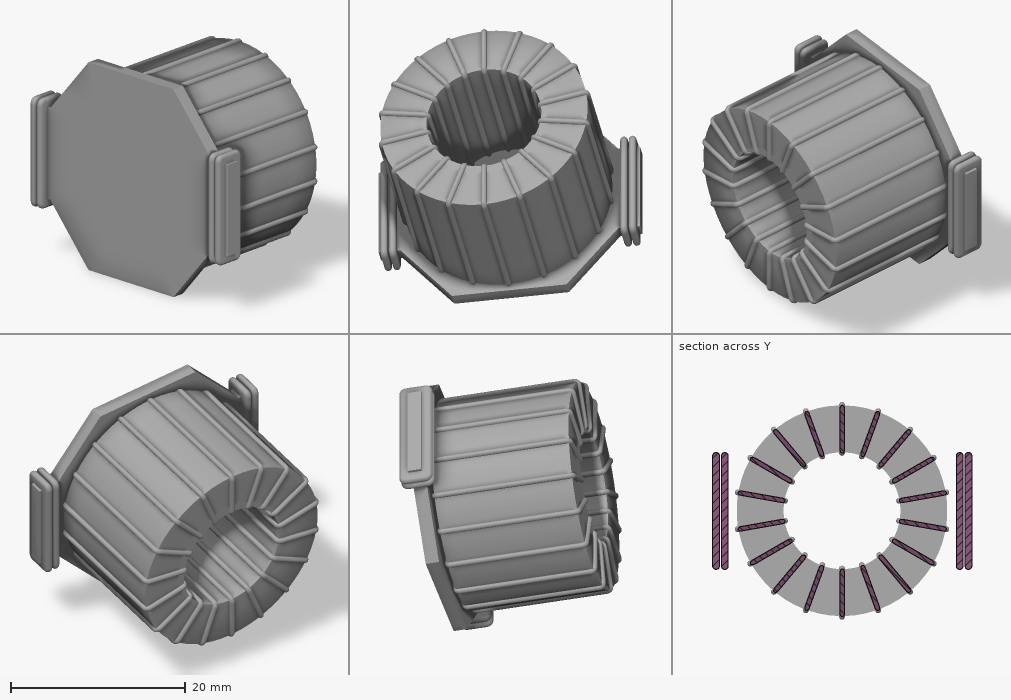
import cadquery as cq


PLATE_THICKNESS = 1.6
PLATE_HEIGHT = 25.4
PLATE_FLAT_LENGTH = 13.35
SHOULDER_WIDTH = PLATE_HEIGHT
TAB_SPAN = 30.5
TAB_HEIGHT = 11.15

WRAP_MARGIN = 1.15
WRAP_WIRE_DIAMETER = 0.82
WRAP_PITCH = 1.0
WRAP_CENTRE_INSET = 1.25

WINDING_MARGIN = 0.4
WINDING_LENGTH = 17.08
WINDING_OUTER_RADIUS = 12.5
CORE_BORE_RADIUS = 6.7
TURN_COUNT = 18
TURN_WIRE_DIAMETER = 0.67

BEND_RADIUS = 0.8

CORE_RADIUS = WINDING_OUTER_RADIUS - WINDING_MARGIN
CORE_LENGTH = WINDING_LENGTH - 2 * WINDING_MARGIN
CORE_START = PLATE_THICKNESS + WINDING_MARGIN
WINDING_CENTRE = PLATE_THICKNESS + WINDING_LENGTH / 2
TURN_INNER_RADIUS = CORE_BORE_RADIUS - WINDING_MARGIN
TURN_DEPTH = WINDING_OUTER_RADIUS - TURN_INNER_RADIUS
TURN_CENTRE_RADIUS = TURN_INNER_RADIUS + TURN_DEPTH / 2
TURN_ANGLE = 360 / TURN_COUNT


def wire_loop(wire_diameter, length, height):
    """A filled wire loop, thin along X: a round wire bent at four corners, with a flat web inside it."""
    wire_radius = wire_diameter / 2
    web = (
        cq.Workplane("XY")
        .box(wire_diameter, length - wire_diameter, height - wire_diameter)
        .edges("|X")
        .fillet(BEND_RADIUS - wire_radius)
    )
    centreline = web.faces(">X").wires().val().translate(cq.Vector(-wire_radius, 0, 0))
    rim = (
        cq.Workplane("XZ", origin=(0, 0, height / 2 - wire_radius))
        .circle(wire_radius)
        .sweep(centreline)
    )
    return web.union(rim)


def base_plate():
    """Octagonal plate with a tab on each side."""
    octagon_half = [
        (-PLATE_FLAT_LENGTH / 2, PLATE_HEIGHT / 2),
        (PLATE_FLAT_LENGTH / 2, PLATE_HEIGHT / 2),
        (SHOULDER_WIDTH / 2, TAB_HEIGHT / 2),
        (SHOULDER_WIDTH / 2, -TAB_HEIGHT / 2),
    ]
    opposite_half = [(-x, -z) for x, z in octagon_half]
    octagon = (
        cq.Workplane("XZ")
        .polyline(octagon_half + opposite_half)
        .close()
        .extrude(-PLATE_THICKNESS)
    )
    tabs = cq.Workplane("XZ").rect(TAB_SPAN, TAB_HEIGHT).extrude(-PLATE_THICKNESS)
    return octagon.union(tabs)


def terminal_base():
    """Base plate with two wire wraps fixed around each tab."""
    base = base_plate()
    wrap = wire_loop(
        WRAP_WIRE_DIAMETER,
        PLATE_THICKNESS + 2 * WRAP_MARGIN,
        TAB_HEIGHT + 2 * WRAP_MARGIN,
    )
    inner_wrap_x = TAB_SPAN / 2 - WRAP_CENTRE_INSET - WRAP_PITCH / 2
    outer_wrap_x = inner_wrap_x + WRAP_PITCH
    for x in (-outer_wrap_x, -inner_wrap_x, inner_wrap_x, outer_wrap_x):
        base = base.union(wrap.translate((x, PLATE_THICKNESS / 2, 0)))
    return base


def toroid_core():
    """Plain ring with its bore along Y."""
    return (
        cq.Workplane("XZ", origin=(0, CORE_START, 0))
        .circle(CORE_RADIUS)
        .circle(CORE_BORE_RADIUS)
        .extrude(-CORE_LENGTH)
    )


def wound_coil():
    """Toroid core with evenly spaced turns, the first one at the top."""
    coil = toroid_core()
    turn = wire_loop(TURN_WIRE_DIAMETER, WINDING_LENGTH, TURN_DEPTH)
    turn = turn.translate((0, WINDING_CENTRE, TURN_CENTRE_RADIUS))
    for index in range(TURN_COUNT):
        coil = coil.union(turn.rotate((0, 0, 0), (0, 1, 0), index * TURN_ANGLE))
    return coil


result = cq.Compound.makeCompound([terminal_base().val(), wound_coil().val()])